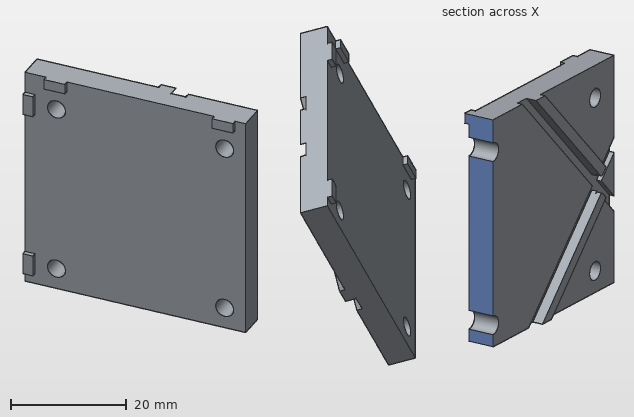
import cadquery as cq

side = 42.0
plate_thickness = 5.0
front_y = 0.0
back_y = front_y + plate_thickness

margin = 2.0
cell_x = (side + margin) / 2
cell_z = (side - margin) / 2
pitch = 32.0
pitch_offsets = (-pitch / 2, pitch / 2)
hole_diameter = 3.4

tab_length = 4.0
tab_width = 1.9
tab_height = 0.9

diagonal_angle = 45.0
band_width = 2.0
band_depth = 1.0
groove_offset = 11.7
groove_inner = groove_offset - band_width / 2
groove_outer = groove_offset + band_width / 2
rail_tip_radius = 0.5
reach = side


def box(x_min, x_max, y_min, y_max, z_min, z_max):
    """Axis-aligned block between the given limits."""
    block = cq.Workplane("XY").box(x_max - x_min, y_max - y_min, z_max - z_min, centered=False)
    return block.translate((x_min, y_min, z_min))


def band(start, inner, y_min):
    """Bar along +X with its lower edge at z = inner, set out from the cell centre."""
    return box(start, reach, y_min, y_min + band_depth, inner, inner + band_width)


def place_diagonal(bar):
    """Tilt a bar so it rises toward +X, and move it to the cell centre."""
    tilted = bar.rotate((0, 0, 0), (0, 1, 0), -diagonal_angle)
    return tilted.translate((cell_x, 0, cell_z))


def mirrored_pair(shape):
    """A shape and its reflection across the horizontal plane through the cell centre."""
    return (shape, shape.mirror("XY", (0, 0, cell_z)))


def add_tabs(body):
    y_min = front_y - tab_height
    for offset in pitch_offsets:
        x_min = cell_x + offset - tab_length / 2
        z_min = cell_z + offset - tab_length / 2
        top_tab = box(x_min, x_min + tab_length, y_min, front_y, side - tab_width, side)
        left_tab = box(0, tab_width, y_min, front_y, z_min, z_min + tab_length)
        body = body.union(top_tab).union(left_tab)
    return body


def add_rails(body):
    """Each rail starts at the inner edge of the other groove, with its inner corner rounded."""
    plate_outline = box(0, side, back_y, back_y + band_depth, 0, side)
    rail = band(-groove_inner, groove_outer, back_y)
    rail = rail.edges("|Y and <X").edges("<Z").fillet(rail_tip_radius)
    for shape in mirrored_pair(place_diagonal(rail)):
        body = body.union(shape.intersect(plate_outline))
    return body


def cut_grooves(body):
    groove = place_diagonal(band(-reach, groove_inner, back_y - band_depth))
    for shape in mirrored_pair(groove):
        body = body.cut(shape)
    return body


def cut_holes(body):
    hole = cq.Workplane("XZ").circle(hole_diameter / 2).extrude(-plate_thickness)
    for dx in pitch_offsets:
        for dz in pitch_offsets:
            body = body.cut(hole.translate((cell_x + dx, front_y, cell_z + dz)))
    return body


plate = box(0, side, front_y, back_y, 0, side)
result = cut_holes(cut_grooves(add_rails(add_tabs(plate))))